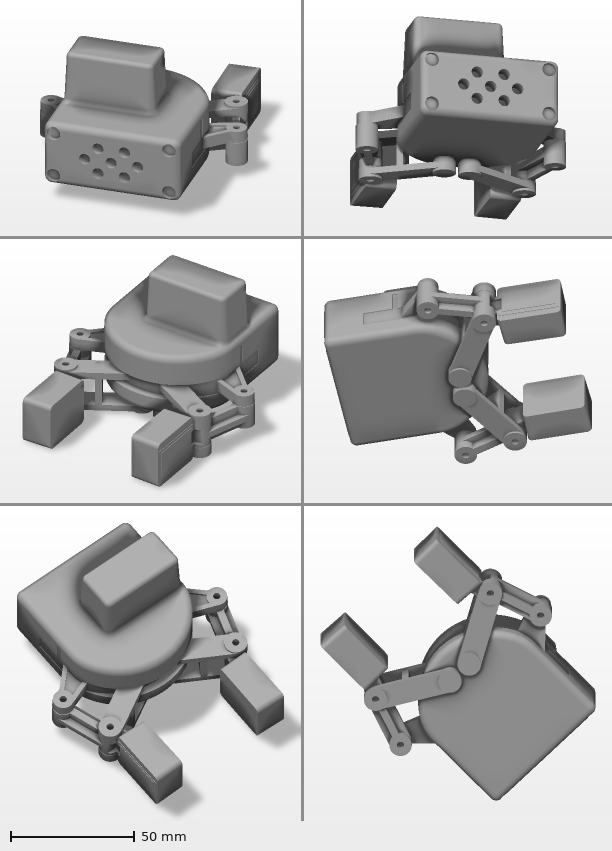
import cadquery as cq
import math


OVERALL_WIDTH = 88.2
COUPLER_R = 4.6
FINGER_PIVOT = (-32.3, 67.2)
ARM_PIVOT = (COUPLER_R - OVERALL_WIDTH / 2, 45.2)
FORK_PIVOT = (-5.4, 51.7)
RIGHT_SHIFT = 0.3
PIN_HOLE_R = 1.5
OVERRUN = 1.0

HOUSING_X = 0.7
HOUSING_HALF_WIDTH = 29.0
HOUSING_FRONT = 62.2
HOUSING_FRONT_R = 30.2
HOUSING_CORNER_R = 19.6
HOUSING_BOTTOM = 6.5
HOUSING_HEIGHT = 27.8
HOUSING_TOP = HOUSING_BOTTOM + HOUSING_HEIGHT
HOUSING_MID = HOUSING_BOTTOM + HOUSING_HEIGHT / 2
HOUSING_FILLET = 3.0

SLOT_BOTTOM = 14.3
SLOT_TOP = 21.4
SLOT_REAR = 17.0
SLOT_FLOOR_HALF_WIDTH = 28.7
SLOT_FLOOR_FRONT = 58.9
SLOT_FLOOR_FRONT_R = 32.7
SLOT_FLOOR_CORNER_R = 5.6
NOTCH_REAR = 28.8
NOTCH_WIDTH = 2.2
NOTCH_TOP = 30.3

TURRET_OFFSET = 7.7
TURRET_X = HOUSING_X - TURRET_OFFSET
TURRET_Y = 29.9
TURRET_LENGTH = 39.0
TURRET_WIDTH = 20.2
TURRET_TOP = 56.3
TURRET_DRAFT = 2.8
TURRET_CORNER_R = 3.2
TURRET_TOP_FILLET = 1.8
TURRET_ROOT_FILLET = 2.0

PORT_R = 2.4
PORT_PITCH = 11.3
PORT_DEPTH = 6.0
SCREW_R = 2.9
SCREW_X = 24.6
SCREW_Z = 9.5
SCREW_DEPTH = 2.0

COUPLER_BOTTOM = 5.2
COUPLER_TOP = 15.5

ARM_TOP = 20.5
ARM_BOSS_R = 4.3
ARM_LENGTH = 19.8
ARM_FRONT_ANGLE = -20.5
ARM_REAR_ANGLE = -44.5
ARM_REAR_OFFSET = 2.2
ARM_NECK_FILLET = 2.5
ARM_WALL = 2.0
ARM_POCKET_DEPTH = 1.0

FORK_R = 4.8
FORK_TOP = 20.4
FORK_BOTTOM = 0.4
FORK_PLATE_INSET = 1.0
FORK_UPPER_PLATE = 3.1
FORK_LOWER_PLATE = 2.7
POST_DISTANCE = 13.6
POST_LENGTH = 2.8
SPACER_R = 4.1
SPACER_COLLAR_R = 4.5
SPACER_COLLAR_HEIGHT = 0.7

COUPLER_WEB = 3.0
FLANGE_BOTTOM = 8.9
FLANGE_THICKNESS = 2.7
FINGER_HEIGHT = 20.7
FINGER_OUTER = -32.6
FINGER_INNER_FRONT = -19.4
FINGER_INNER_REAR = -19.7
FINGER_REAR = 72.5
FINGER_FRONT = 98.9
FINGER_END_SLOPE = 0.4
FINGER_FILLET = 2.0
FRAME_MARGIN = 0.6
FRAME_BOTTOM = 3.2
FRAME_TOP = 17.4
PANEL_MARGIN = 2.1
PANEL_BOTTOM = 5.3
PANEL_TOP = 16.1
RAISE = 0.2
RELIEF_REAR = 70.0
RELIEF_FRONT = 74.4
RELIEF_BOTTOM = 6.8
RELIEF_TOP = 13.9
RELIEF_DEPTH = 1.0


def box_between(low, high):
    size = [b - a for a, b in zip(low, high)]
    return cq.Workplane("XY").box(*size, centered=False).translate(low)


def post(centre, radius, bottom, top):
    return cq.Workplane("XY").workplane(offset=bottom).center(*centre).circle(radius).extrude(top - bottom)


def plate(points, bottom, top):
    return cq.Workplane("XY").workplane(offset=bottom).polyline(points).close().extrude(top - bottom)


def along(start, angle, distance, side=0.0):
    """Point at a distance along a direction and offset to its left."""
    a = math.radians(angle)
    return (start[0] + distance * math.cos(a) - side * math.sin(a),
            start[1] + distance * math.sin(a) + side * math.cos(a))


def heading(start, end):
    return math.degrees(math.atan2(end[1] - start[1], end[0] - start[0]))


def strip(start, angle, near, far, width, bottom, top):
    """Straight bar centred on a line through the start point."""
    half = width / 2
    corners = [along(start, angle, near, half), along(start, angle, far, half),
               along(start, angle, far, -half), along(start, angle, near, -half)]
    return plate(corners, bottom, top)


def right_copy(left):
    return left.mirror("YZ").translate((0, RIGHT_SHIFT, 0))


def round_front_block(half_width, front, front_r, corner_r, rear, bottom, top):
    """Block whose front is a wide arc joined to the sides by tangent corner arcs."""
    centre_y = front - front_r
    corner_x = half_width - corner_r
    reach = front_r - corner_r
    tangent_y = centre_y + math.sqrt(reach**2 - corner_x**2)
    angle = math.atan2(tangent_y - centre_y, corner_x)
    join = (corner_x + corner_r * math.cos(angle), tangent_y + corner_r * math.sin(angle))
    middle = (corner_x + corner_r * math.cos(angle / 2), tangent_y + corner_r * math.sin(angle / 2))
    return (
        cq.Workplane("XY", origin=(HOUSING_X, 0, bottom))
        .moveTo(-half_width, rear)
        .lineTo(half_width, rear)
        .lineTo(half_width, tangent_y)
        .threePointArc(middle, join)
        .threePointArc((0, front), (-join[0], join[1]))
        .threePointArc((-middle[0], middle[1]), (-half_width, tangent_y))
        .close()
        .extrude(top - bottom)
    )


def housing_shell():
    shell = round_front_block(HOUSING_HALF_WIDTH, HOUSING_FRONT, HOUSING_FRONT_R, HOUSING_CORNER_R,
                              0, HOUSING_BOTTOM, HOUSING_TOP)
    shell = shell.edges("|Z and <Y").fillet(HOUSING_FILLET)
    return shell.faces(">Z or <Z").edges().fillet(HOUSING_FILLET)


def turret():
    """Tapered block, started inside the housing so that it meets the rounded side edge."""
    base = HOUSING_TOP - HOUSING_FILLET
    growth = HOUSING_FILLET * math.tan(math.radians(TURRET_DRAFT))
    outline = (
        cq.Sketch()
        .rect(TURRET_LENGTH + 2 * growth, TURRET_WIDTH + 2 * growth)
        .vertices()
        .fillet(TURRET_CORNER_R + growth)
    )
    block = (
        cq.Workplane("XY", origin=(TURRET_X, TURRET_Y, base))
        .placeSketch(outline)
        .extrude(TURRET_TOP - base, taper=TURRET_DRAFT)
    )
    return block.faces(">Z").edges().fillet(TURRET_TOP_FILLET)


def shell_with_turret():
    body = housing_shell().union(turret())
    half_size = (TURRET_LENGTH / 2 + OVERRUN, TURRET_WIDTH / 2 + OVERRUN, OVERRUN)
    root_centre = (TURRET_X, TURRET_Y, HOUSING_TOP)
    root = cq.selectors.BoxSelector([c - h for c, h in zip(root_centre, half_size)],
                                    [c + h for c, h in zip(root_centre, half_size)])
    return body.edges(root).fillet(TURRET_ROOT_FILLET)


def side_slot():
    """Band removed outside the slot floor, with a narrow notch on each side."""
    reach = HOUSING_HALF_WIDTH + OVERRUN
    band = box_between((HOUSING_X - reach, SLOT_REAR, SLOT_BOTTOM),
                       (HOUSING_X + reach, HOUSING_FRONT + OVERRUN, SLOT_TOP))
    notch = box_between((HOUSING_X - reach, NOTCH_REAR, SLOT_TOP),
                        (HOUSING_X + reach, NOTCH_REAR + NOTCH_WIDTH, NOTCH_TOP))
    floor = round_front_block(SLOT_FLOOR_HALF_WIDTH, SLOT_FLOOR_FRONT, SLOT_FLOOR_FRONT_R,
                              SLOT_FLOOR_CORNER_R, 0, HOUSING_BOTTOM, HOUSING_TOP)
    return band.union(notch).cut(floor)


def rear_holes(points, radius, depth):
    rear_face = cq.Workplane("XZ", origin=(HOUSING_X, 0, HOUSING_MID))
    return rear_face.pushPoints(points).circle(radius).extrude(-depth)


def ports():
    half = PORT_PITCH / 2
    points = [(i * PORT_PITCH, 0) for i in (-1, 0, 1)]
    points += [(x, z) for x in (-half, half) for z in (-half, half)]
    return rear_holes(points, PORT_R, PORT_DEPTH)


def screw_recesses():
    points = [(i * SCREW_X, k * SCREW_Z) for i in (-1, 1) for k in (-1, 1)]
    return rear_holes(points, SCREW_R, SCREW_DEPTH)


def arm_wedge(front_offset, rear_offset, bottom):
    corners = [along(ARM_PIVOT, ARM_FRONT_ANGLE, 0, front_offset),
               along(ARM_PIVOT, ARM_FRONT_ANGLE, ARM_LENGTH, front_offset),
               along(ARM_PIVOT, ARM_REAR_ANGLE, ARM_LENGTH, -rear_offset),
               along(ARM_PIVOT, ARM_REAR_ANGLE, 0, -rear_offset)]
    return plate(corners, bottom, ARM_TOP)


def drive_arm():
    boss = post(ARM_PIVOT, ARM_BOSS_R, COUPLER_TOP, ARM_TOP)
    pocket = arm_wedge(ARM_BOSS_R - ARM_WALL, ARM_REAR_OFFSET - ARM_WALL, ARM_TOP - ARM_POCKET_DEPTH)
    pocket = pocket.cut(boss)
    arm = arm_wedge(ARM_BOSS_R, ARM_REAR_OFFSET, COUPLER_TOP).union(boss)
    neck_distance = math.sqrt(ARM_BOSS_R**2 - ARM_REAR_OFFSET**2)
    neck = along(ARM_PIVOT, ARM_REAR_ANGLE, neck_distance, -ARM_REAR_OFFSET)
    neck_point = (*neck, (COUPLER_TOP + ARM_TOP) / 2)
    arm = arm.edges(cq.selectors.NearestToPointSelector(neck_point)).fillet(ARM_NECK_FILLET)
    arm = arm.cut(pocket)
    return arm.cut(post(ARM_PIVOT, PIN_HOLE_R, COUPLER_TOP, ARM_TOP))


def fork_spacer():
    neck = post(FORK_PIVOT, SPACER_R, COUPLER_BOTTOM, HOUSING_BOTTOM + OVERRUN)
    collar = post(FORK_PIVOT, SPACER_COLLAR_R, COUPLER_BOTTOM, COUPLER_BOTTOM + SPACER_COLLAR_HEIGHT)
    return neck.union(collar)


def make_housing(forks):
    body = shell_with_turret().cut(side_slot()).cut(ports()).cut(screw_recesses())
    for fork in forks:
        body = body.cut(fork)
    for feature in (drive_arm(), fork_spacer()):
        body = body.union(feature).union(right_copy(feature))
    return body


def fork_level(bottom, top, plate_bottom, plate_top):
    angle = heading(FINGER_PIVOT, FORK_PIVOT)
    length = math.dist(FINGER_PIVOT, FORK_PIVOT)
    bar = strip(FINGER_PIVOT, angle, 0, length, 2 * FORK_R, plate_bottom, plate_top)
    for pivot in (FINGER_PIVOT, FORK_PIVOT):
        bar = bar.union(post(pivot, FORK_R, bottom, top))
    return bar


def make_fork():
    upper_plate_top = FORK_TOP - FORK_PLATE_INSET
    upper_plate_bottom = upper_plate_top - FORK_UPPER_PLATE
    lower_plate_bottom = FORK_BOTTOM + FORK_PLATE_INSET
    lower_plate_top = lower_plate_bottom + FORK_LOWER_PLATE
    upper = fork_level(COUPLER_TOP, FORK_TOP, upper_plate_bottom, upper_plate_top)
    lower = fork_level(FORK_BOTTOM, COUPLER_BOTTOM, lower_plate_bottom, lower_plate_top)
    web = strip(FINGER_PIVOT, heading(FINGER_PIVOT, FORK_PIVOT), POST_DISTANCE - POST_LENGTH / 2,
                POST_DISTANCE + POST_LENGTH / 2, 2 * FORK_R, lower_plate_bottom, upper_plate_top)
    return upper.union(lower).union(web).cut(post(FINGER_PIVOT, PIN_HOLE_R, FORK_BOTTOM, FORK_TOP))


def finger_block():
    outline = [(FINGER_OUTER, FINGER_REAR), (FINGER_OUTER, FINGER_FRONT),
               (FINGER_INNER_FRONT, FINGER_FRONT - FINGER_END_SLOPE),
               (FINGER_INNER_REAR, FINGER_REAR + FINGER_END_SLOPE)]
    block = plate(outline, 0, FINGER_HEIGHT)
    block = block.faces(">Y or <Y").edges("<Z or >Z").fillet(FINGER_FILLET)
    frame = box_between((FINGER_OUTER - RAISE, FINGER_REAR + FRAME_MARGIN, FRAME_BOTTOM),
                        (FINGER_OUTER, FINGER_FRONT - FRAME_MARGIN, FRAME_TOP))
    panel = box_between((FINGER_OUTER - 2 * RAISE, FINGER_REAR + PANEL_MARGIN, PANEL_BOTTOM),
                        (FINGER_OUTER, FINGER_FRONT - PANEL_MARGIN, PANEL_TOP))
    return block.union(frame).union(panel)


def coupler():
    angle = heading(ARM_PIVOT, FINGER_PIVOT)
    length = math.dist(ARM_PIVOT, FINGER_PIVOT)
    bar = strip(ARM_PIVOT, angle, 0, length, COUPLER_WEB, COUPLER_BOTTOM, COUPLER_TOP)
    bar = bar.union(strip(ARM_PIVOT, angle, 0, length, 2 * COUPLER_R,
                          FLANGE_BOTTOM, FLANGE_BOTTOM + FLANGE_THICKNESS))
    for pivot in (ARM_PIVOT, FINGER_PIVOT):
        bar = bar.union(post(pivot, COUPLER_R, COUPLER_BOTTOM, COUPLER_TOP))
    return bar


def lug():
    """Joins the coupler to the finger block, its inner side in line with the coupler."""
    angle = heading(ARM_PIVOT, FINGER_PIVOT)
    inner = along(FINGER_PIVOT, angle, 0, -COUPLER_R)
    rise = FINGER_REAR + FINGER_END_SLOPE - inner[1]
    end = along(inner, angle, rise / math.sin(math.radians(angle)))
    return plate([FINGER_PIVOT, inner, end, (FINGER_OUTER, end[1]), (FINGER_OUTER, FINGER_PIVOT[1])],
                 COUPLER_BOTTOM, COUPLER_TOP)


def make_finger():
    finger = finger_block().union(coupler()).union(lug())
    relief = box_between((FINGER_OUTER - 2 * COUPLER_R, RELIEF_REAR, RELIEF_BOTTOM),
                         (FINGER_OUTER + RELIEF_DEPTH, RELIEF_FRONT, RELIEF_TOP))
    finger = finger.cut(relief)
    for pivot in (ARM_PIVOT, FINGER_PIVOT):
        finger = finger.cut(post(pivot, PIN_HOLE_R, COUPLER_BOTTOM, COUPLER_TOP))
    return finger


left_fork = make_fork()
left_finger = make_finger()
forks = [left_fork, right_copy(left_fork)]
fingers = [left_finger, right_copy(left_finger)]
housing = make_housing(forks)

result = cq.Compound.makeCompound([housing.val()] + [body.val() for body in forks + fingers])